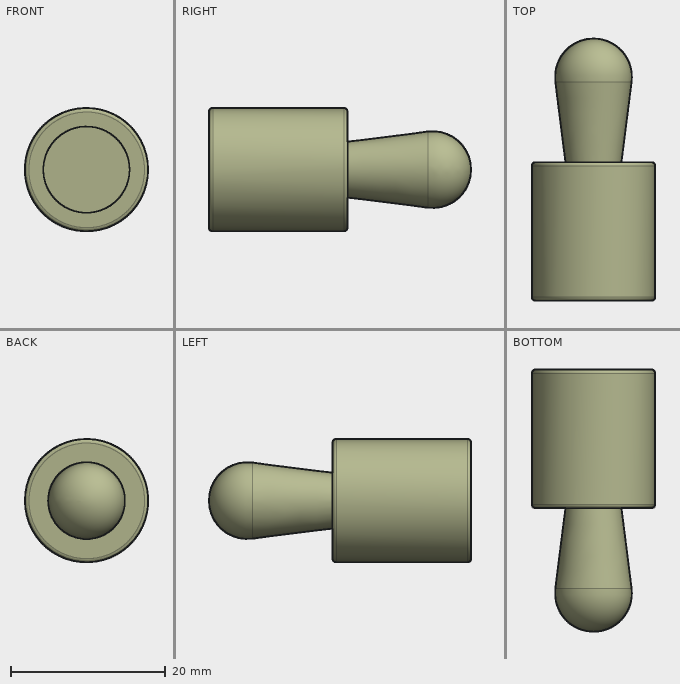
import cadquery as cq
import math

total_length = 34.0
body_diameter = 16.0
body_length = 18.0
edge_fillet = 0.5
recess_diameter = 11.2
recess_depth = 1.0
ball_diameter = 10.0
taper_angle = math.radians(7.2)

ball_radius = ball_diameter / 2
ball_center_y = total_length - ball_radius
tangent_radius = ball_radius * math.cos(taper_angle)
tangent_y = ball_center_y - ball_radius * math.sin(taper_angle)
neck_radius = tangent_radius - (tangent_y - body_length) * math.tan(taper_angle)

arc_mid_angle = (math.pi / 2 - taper_angle) / 2
arc_mid = (
    ball_radius * math.cos(arc_mid_angle),
    ball_center_y + ball_radius * math.sin(arc_mid_angle),
)


def make_body():
    """Cylinder with rounded rims and a shallow round recess in its -Y face."""
    body = cq.Workplane("XZ").circle(body_diameter / 2).extrude(-body_length)
    body = body.faces("<Y or >Y").edges().fillet(edge_fillet)
    recess = cq.Workplane("XZ").circle(recess_diameter / 2).extrude(-recess_depth)
    return body.cut(recess)


def make_handle():
    """Conical neck widening into a tangent ball end."""
    return (
        cq.Workplane("XY")
        .moveTo(0, body_length)
        .lineTo(neck_radius, body_length)
        .lineTo(tangent_radius, tangent_y)
        .threePointArc(arc_mid, (0, total_length))
        .close()
        .revolve(360, (0, 0, 0), (0, 1, 0))
    )


result = make_body().union(make_handle())